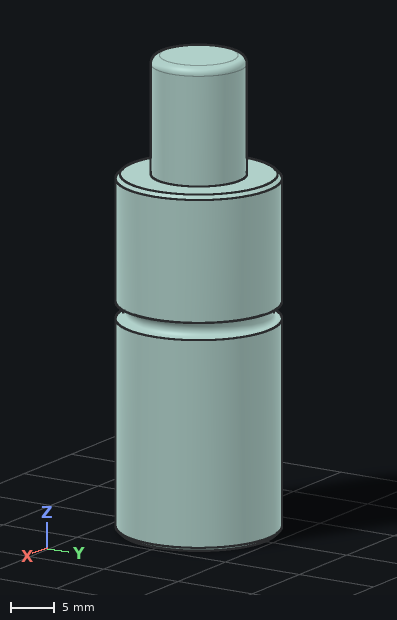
import cadquery as cq

total_height = 56.0
body_diameter = 19.0
body_height = 42.0
body_chamfer = 0.5
pin_diameter = 11.0
pin_rounding = 1.0
groove_radius = 1.0
groove_center_height = 26.0

body_radius = body_diameter / 2
pin_height = total_height - body_height


def make_body():
    """Plain cylinder with both end edges chamfered."""
    body = cq.Workplane("XY").circle(body_radius).extrude(body_height)
    return body.faces("<Z or >Z").edges().chamfer(body_chamfer)


def make_pin():
    """Smaller coaxial pin standing on the body, with a rounded tip."""
    pin = cq.Workplane("XY").workplane(offset=body_height).circle(pin_diameter / 2).extrude(pin_height)
    return pin.faces(">Z").edges().fillet(pin_rounding)


def make_groove_cutter():
    """Ring of circular section, centred on the outer surface of the body."""
    section = cq.Workplane("XZ").center(body_radius, groove_center_height).circle(groove_radius)
    return section.revolve(360, (-body_radius, 0), (-body_radius, 1))


result = make_body().union(make_pin()).cut(make_groove_cutter())